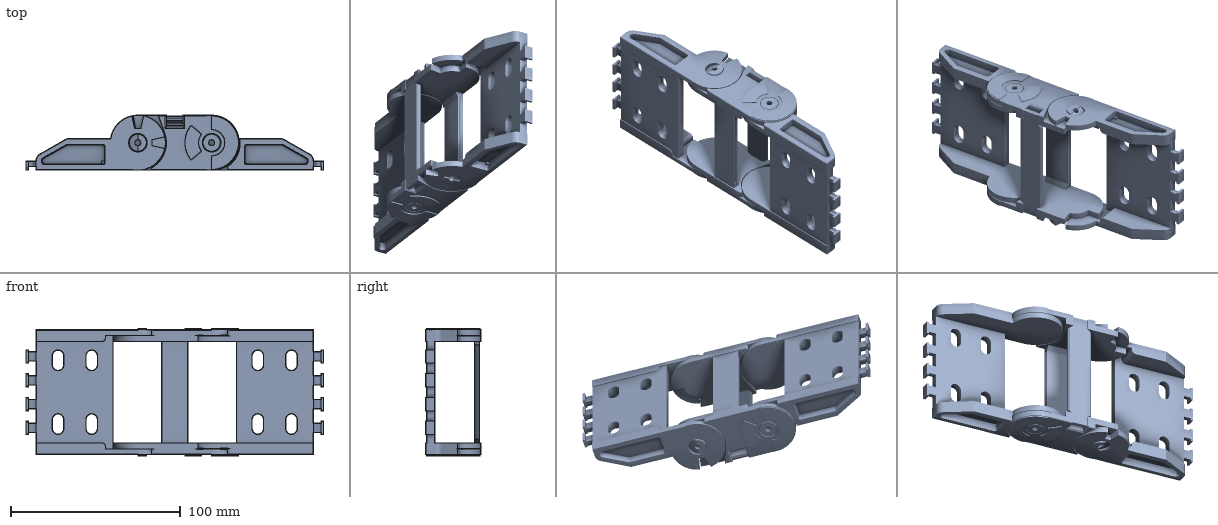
import cadquery as cq
import math

total_length = 175.5
total_depth = 32.5
half_depth = total_depth / 2
cheek_outer = 36.9
cheek_inner = 29.8
layer_split = 33.5
layer_gap = 0.4
relief_height = 0.61
edge_chamfer = 0.4

pivot_x = 21.8
disc_radius = half_depth
cut_margin = 1.8
clearance_radius = 16.8
wedge_angle = 21.5
wedge_top_reach = 12.1
link_corner = 8.0
bracket_corner = 9.5
clearance_round = 1.4
pin_radius = 5.1
pin_hole_radius = 5.5
pin_bore_radius = 1.8
pin_bore_depth = 3.5
pin_slope_drop = 1.8

body_half_length = 81.8
arm_top = 2.5
arm_slope_x = 63.4
arm_end_y = -8.0
arm_end_round = 4.5
plate_recess = 0.5
plate_bottom = plate_recess - half_depth
plate_top = -10.9
plate_end_x = 36.3
inner_step_x = 40.7
inner_step_round = 2.5

slot_width = 6.7
slot_length = 12.0
slot_x = (49.0, 68.8)
slot_z = 18.8

tab_z = (-21.0, -7.0, 7.0, 21.0)
tab_neck_half_width = 2.8
tab_neck_bottom = -14.0
tab_head_width = 7.9
tab_head_thickness = 1.4

pocket_depth = 4.5
pocket_taper = 5.0
pocket_round = 1.4
pocket_tip_round = 2.1
pocket_left = 78.6
pocket_right = 41.0
pocket_slope_x = 63.5
pocket_top = -1.0
pocket_bottom = -13.0
pocket_tip_y = -9.5

disc_notch_start = 8.5
disc_notch_inner_half = 1.8
disc_notch_outer_half = 3.5

mark_inner_radius = 7.7
mark_outer_radius = 15.8
sector_half_angle = 40.0
lug_hub_radius = 8.8
lug_stop_angle = 100.0

crossbar_half_width = 7.7
crossbar_top = -12.5
groove_depth = 0.5
groove_bottom = -14.5
groove_top = -13.5
crossbar_foot = 3.2

bar_half_width = 7.7
bar_edge_half_width = 6.8
bar_bottom = 12.5
bar_top = 15.6
bar_ridge_low = 13.5
bar_ridge_high = 14.5
bar_shoulder = 2.1
tongue_half_width = 5.0
hook_y = 11.5
hook_z = 33.0
hook_shoulder_z = 35.8
tongue_end_z = 36.2
notch_front = 9.1
notch_floor_y = 10.2
notch_rim = 0.7
notch_rim_taper = 45.0


def block(x0, x1, y0, y1, z0, z1):
    return cq.Workplane("XY").box(x1 - x0, y1 - y0, z1 - z0, centered=False).translate((x0, y0, z0))


def disc(x, radius, z0, z1):
    return cq.Workplane("XY").workplane(offset=z0).center(x, 0).circle(radius).extrude(z1 - z0)


def prism_along_x(points, half_width):
    return cq.Workplane("YZ").polyline(points).close().extrude(half_width, both=True)


def both_cheeks(upper):
    return upper.union(upper.mirror("XY"))


def swing_clearance(x, side, corner, z0, z1):
    """Room for a disc at pivot x; the wall around it stands on the given side (+1 or -1)."""
    past_edge = half_depth + cut_margin
    far = 2 * pivot_x
    tangent = math.radians(wedge_angle)
    round_mid = clearance_round * math.sin(math.pi / 4)
    round_x = corner + clearance_round
    round_y = clearance_round - half_depth
    slope_x = wedge_top_reach - math.tan(tangent) * (past_edge - half_depth)
    wall = (
        cq.Workplane("XY")
        .workplane(offset=z0)
        .moveTo(0, 0)
        .lineTo(clearance_radius * math.cos(tangent), clearance_radius * math.sin(tangent))
        .lineTo(slope_x, past_edge)
        .lineTo(-far, past_edge)
        .lineTo(-far, -past_edge)
        .lineTo(round_x, -past_edge)
        .lineTo(round_x, -half_depth)
        .threePointArc((round_x - round_mid, round_y - round_mid), (corner, round_y))
        .lineTo(corner, 0)
        .close()
        .extrude(z1 - z0)
    )
    if side < 0:
        wall = wall.mirror("YZ")
    return wall.translate((x, 0, 0)).union(disc(x, clearance_radius, z0, z1))


def bracket_cheek():
    arm = (
        cq.Workplane("XY")
        .workplane(offset=cheek_inner)
        .moveTo(-body_half_length, -half_depth)
        .lineTo(-pivot_x, -half_depth)
        .lineTo(-pivot_x, arm_top)
        .lineTo(-arm_slope_x, arm_top)
        .lineTo(-body_half_length, arm_end_y)
        .close()
        .extrude(cheek_outer - cheek_inner)
    )
    arm = arm.edges("|Z").edges("<X").edges(">Y").fillet(arm_end_round)
    arm = arm.edges("|X").edges(">Z").edges("<Y").chamfer(edge_chamfer)
    cheek = arm.union(disc(-pivot_x, disc_radius, cheek_inner, cheek_outer))
    return cheek.cut(side_pocket())


def side_pocket():
    """Blind pocket in the outer face, following the arm outline."""
    outline = (
        cq.Sketch()
        .polygon([
            (-pocket_left, pocket_bottom),
            (-pocket_right, pocket_bottom),
            (-pocket_right, pocket_top),
            (-pocket_slope_x, pocket_top),
            (-pocket_left, pocket_tip_y),
            (-pocket_left, pocket_bottom),
        ])
        .vertices("<X")
        .fillet(pocket_tip_round)
        .reset()
        .vertices(">X")
        .fillet(pocket_round)
    )
    return (
        cq.Workplane("XY")
        .workplane(offset=cheek_outer)
        .placeSketch(outline)
        .extrude(-pocket_depth, taper=pocket_taper)
    )


def bracket_plate(half_height):
    """Plate between the cheeks; near its free edge it reaches the given half height."""
    plate = block(-body_half_length, -plate_end_x, plate_bottom, plate_top, -cheek_inner, cheek_inner)
    root_start = -inner_step_x - inner_step_round
    root = block(root_start, -plate_end_x, plate_bottom, plate_top, -half_height, half_height)
    return plate.union(root)


def plate_slots():
    centers = [(-x, z) for x in slot_x for z in (-slot_z, slot_z)]
    return (
        cq.Workplane("XZ")
        .pushPoints(centers)
        .slot2D(slot_length, slot_width, 90)
        .extrude(half_depth + cut_margin)
    )


def end_tab(z):
    tip_x = -total_length / 2
    head_x = tip_x + tab_head_thickness
    head_half_width = tab_head_width / 2
    neck = block(
        head_x, -body_half_length, tab_neck_bottom, plate_top,
        z - tab_neck_half_width, z + tab_neck_half_width,
    )
    head = block(
        tip_x, head_x, -half_depth, plate_top,
        z - head_half_width, z + head_half_width,
    )
    return neck.union(head)


def finish_bracket(upper_cheek, plate_half_height):
    bracket = both_cheeks(upper_cheek).union(bracket_plate(plate_half_height)).cut(plate_slots())
    for z in tab_z:
        bracket = bracket.union(end_tab(z))
    return bracket


def disc_notch(angle):
    """Tapered notch through a disc rim, centred on the direction given in degrees."""
    notch = (
        cq.Workplane("XY")
        .workplane(offset=layer_split)
        .polyline([
            (disc_notch_start, -disc_notch_inner_half),
            (disc_radius, -disc_notch_outer_half),
            (disc_radius + cut_margin, -disc_notch_outer_half),
            (disc_radius + cut_margin, disc_notch_outer_half),
            (disc_radius, disc_notch_outer_half),
            (disc_notch_start, disc_notch_inner_half),
        ])
        .close()
        .extrude(cheek_outer - layer_split)
    )
    return notch.rotate((0, 0, 0), (0, 0, 1), angle).translate((-pivot_x, 0, 0))


def left_bracket():
    """Bracket whose discs lie outside those of the link."""
    past_edge = half_depth + cut_margin
    inner_room = block(-inner_step_x, 0, -past_edge, past_edge, 0, layer_split)
    cheek = bracket_cheek().cut(inner_room)
    cheek = cheek.edges("|Y").edges("<Z").edges(">X").fillet(inner_step_round)
    cheek = cheek.cut(disc(-pivot_x, pin_hole_radius, layer_split, cheek_outer))
    for angle in (0, 90):
        cheek = cheek.cut(disc_notch(angle))
    return finish_bracket(cheek, layer_split)


def right_bracket():
    """Bracket whose discs lie inside those of the link and carry the pins."""
    room_floor = layer_split - layer_gap
    cheek = bracket_cheek().cut(swing_clearance(-pivot_x, -1, bracket_corner, room_floor, cheek_outer))
    cheek = cheek.union(disc(-pivot_x, pin_radius, cheek_inner, cheek_outer))
    bore = disc(-pivot_x, pin_bore_radius, cheek_outer - pin_bore_depth, cheek_outer)
    return finish_bracket(cheek.cut(bore), cheek_inner).mirror("YZ")


def link_pin():
    """Pin at the left pivot; its outboard half is cut lower and slopes down so that it snaps in."""
    pin_end = cheek_outer + relief_height
    pin = disc(-pivot_x, pin_radius, cheek_inner, pin_end)
    slope = (
        cq.Workplane("XZ")
        .polyline([
            (-pivot_x, pin_end),
            (-pivot_x - pin_radius, pin_end),
            (-pivot_x - pin_radius, cheek_outer - pin_slope_drop),
            (-pivot_x, cheek_outer),
        ])
        .close()
        .extrude(pin_radius, both=True)
    )
    bore = disc(-pivot_x, pin_bore_radius, pin_end - pin_bore_depth, pin_end)
    return pin.cut(slope).cut(bore)


def stop_tooth():
    """Tooth standing up from the link's left disc into the inboard notch of the bracket disc."""
    return disc_notch(0).intersect(disc(-pivot_x, disc_radius, layer_split, cheek_outer))


def lug_relief():
    """Quarter ring taken from the link's left disc, between its top and its outboard side."""
    stop = math.radians(lug_stop_angle)
    reach = 2 * disc_radius
    quarter = (
        cq.Workplane("XY")
        .workplane(offset=cheek_inner)
        .polyline([(0, 0), (reach * math.cos(stop), reach * math.sin(stop)), (-reach, reach), (-reach, 0)])
        .close()
        .extrude(layer_split - cheek_inner)
        .translate((-pivot_x, 0, 0))
    )
    return quarter.cut(disc(-pivot_x, lug_hub_radius, cheek_inner, layer_split))


def raised_marks():
    """Raised half ring and sector around the right pivot."""
    top = cheek_outer + relief_height
    ring = disc(pivot_x, mark_outer_radius, cheek_outer, top)
    ring = ring.cut(disc(pivot_x, mark_inner_radius, cheek_outer, top))
    half = block(pivot_x, 2 * pivot_x, -half_depth, half_depth, cheek_outer, top)
    reach = 2 * mark_outer_radius
    spread = reach * math.tan(math.radians(sector_half_angle))
    wedge = (
        cq.Workplane("XY")
        .workplane(offset=cheek_outer)
        .polyline([(pivot_x, 0), (pivot_x - reach, spread), (pivot_x - reach, -spread)])
        .close()
        .extrude(relief_height)
    )
    return ring.intersect(half.union(wedge))


def bar_notch():
    """Opening in the upper cheek for the tongue and hook of the locking bar."""
    past_edge = half_depth + cut_margin
    opening = prism_along_x([
        (notch_front, cheek_outer),
        (notch_floor_y, hook_z),
        (bar_bottom, hook_z),
        (bar_bottom, cheek_inner),
        (past_edge, cheek_inner),
        (past_edge, cheek_outer),
    ], tongue_half_width)
    rim_half_width = tongue_half_width + notch_rim
    rim_front = notch_front - notch_rim
    rim = (
        cq.Workplane("XY")
        .workplane(offset=cheek_outer)
        .center(0, (rim_front + past_edge) / 2)
        .rect(2 * rim_half_width, past_edge - rim_front)
        .extrude(-notch_rim, taper=notch_rim_taper)
    )
    return opening.union(rim)


def link_cheek():
    cheek = block(-pivot_x, pivot_x, -half_depth, half_depth, cheek_inner, cheek_outer)
    cheek = cheek.edges("|X").edges(">Z").chamfer(edge_chamfer)
    for x in (-pivot_x, pivot_x):
        cheek = cheek.union(disc(x, disc_radius, cheek_inner, cheek_outer))
    cheek = cheek.cut(swing_clearance(-pivot_x, 1, link_corner, layer_split, cheek_outer))
    cheek = cheek.cut(swing_clearance(pivot_x, -1, link_corner, cheek_inner, layer_split))
    cheek = cheek.cut(lug_relief()).union(link_pin()).union(stop_tooth())
    cheek = cheek.cut(disc(pivot_x, pin_hole_radius, layer_split, cheek_outer))
    return cheek.union(raised_marks()).cut(bar_notch())


def link_crossbar():
    bar = (
        cq.Workplane("XY")
        .rect(2 * crossbar_half_width, crossbar_top - plate_bottom)
        .extrude(cheek_inner, both=True)
        .translate((0, (crossbar_top + plate_bottom) / 2, 0))
    )
    groove_mid = (groove_bottom + groove_top) / 2
    groove_half_length = cheek_inner - crossbar_foot
    for side in (-1, 1):
        groove = (
            cq.Workplane("XY")
            .polyline([
                (side * crossbar_half_width, groove_bottom),
                (side * (crossbar_half_width - groove_depth), groove_mid),
                (side * crossbar_half_width, groove_top),
            ])
            .close()
            .extrude(groove_half_length, both=True)
        )
        bar = bar.cut(groove)
    foot = prism_along_x([
        (crossbar_top, cheek_inner - crossbar_foot),
        (plate_top, cheek_inner),
        (crossbar_top, cheek_inner),
    ], crossbar_half_width)
    return bar.union(both_cheeks(foot))


def link():
    return both_cheeks(link_cheek()).union(link_crossbar())


def locking_bar():
    profile = [
        (-bar_edge_half_width, bar_bottom),
        (bar_edge_half_width, bar_bottom),
        (bar_half_width, bar_ridge_low),
        (bar_half_width, bar_ridge_high),
        (bar_edge_half_width, bar_top),
        (-bar_edge_half_width, bar_top),
        (-bar_half_width, bar_ridge_high),
        (-bar_half_width, bar_ridge_low),
    ]
    shaft = cq.Workplane("XY").polyline(profile).close().extrude(cheek_inner, both=True)
    shoulder_z = cheek_inner - bar_shoulder
    silhouette = (
        cq.Workplane("XZ")
        .polyline([
            (-bar_half_width, -shoulder_z),
            (-tongue_half_width, -cheek_inner),
            (tongue_half_width, -cheek_inner),
            (bar_half_width, -shoulder_z),
            (bar_half_width, shoulder_z),
            (tongue_half_width, cheek_inner),
            (-tongue_half_width, cheek_inner),
            (-bar_half_width, shoulder_z),
        ])
        .close()
        .extrude(-half_depth)
    )
    tongue = prism_along_x([
        (bar_bottom, cheek_inner),
        (bar_bottom, hook_z),
        (hook_y, hook_z),
        ((bar_bottom + bar_ridge_low) / 2, hook_shoulder_z),
        (bar_ridge_high, tongue_end_z),
        (bar_top, hook_shoulder_z),
        (bar_top, cheek_inner),
    ], tongue_half_width)
    return shaft.intersect(silhouette).union(both_cheeks(tongue))


result = cq.Compound.makeCompound([
    left_bracket().val(),
    right_bracket().val(),
    link().val(),
    locking_bar().val(),
])